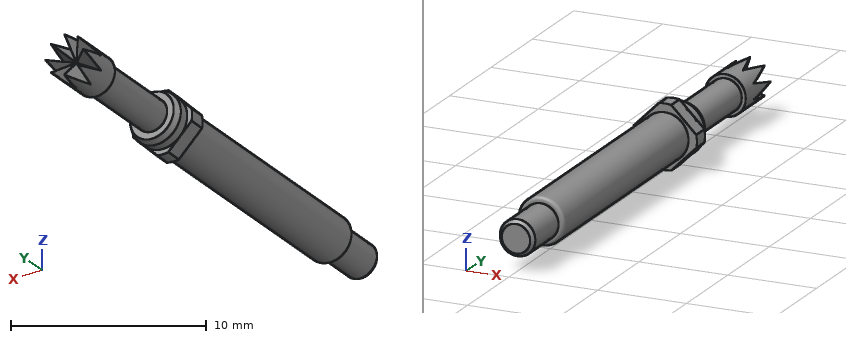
import cadquery as cq
import math


crown_length = 3.0
plunger_length = 5.3
collar_length = 1.0
collar_taper_length = 0.4
flange_thickness = 1.0
barrel_length = 15.0
tail_length = 3.0

crown_diameter = 2.3
plunger_diameter = 1.85
collar_diameter = 3.0
collar_top_diameter = 2.65
flange_width = 3.0
flange_corner_diameter = 3.6
flange_turn = 45.0
barrel_diameter = 2.65
barrel_end_fillet = 0.2
tail_diameter = 2.0
tail_chamfer = 0.2

tooth_count = 8
notch_depth = 1.8
ridge_angle = 45.0

collar_base_y = flange_thickness
collar_top_y = collar_base_y + collar_length
crown_base_y = collar_top_y + plunger_length
tip_y = crown_base_y + crown_length
barrel_end_y = -barrel_length
tail_end_y = barrel_end_y - tail_length

crown_spare = 0.2


def turned_body():
    """Revolve the stepped half outline (radius, y) about the Y axis."""
    crown_radius = crown_diameter / 2
    plunger_radius = plunger_diameter / 2
    collar_radius = collar_diameter / 2
    barrel_radius = barrel_diameter / 2
    tail_radius = tail_diameter / 2
    fillet_offset = barrel_end_fillet * math.sin(math.radians(45))
    fillet_centre_radius = barrel_radius - barrel_end_fillet
    fillet_centre_y = barrel_end_y + barrel_end_fillet
    outline = (
        cq.Workplane("XY")
        .moveTo(0, tail_end_y)
        .lineTo(tail_radius - tail_chamfer, tail_end_y)
        .lineTo(tail_radius, tail_end_y + tail_chamfer)
        .lineTo(tail_radius, barrel_end_y)
        .lineTo(fillet_centre_radius, barrel_end_y)
        .threePointArc(
            (fillet_centre_radius + fillet_offset, fillet_centre_y - fillet_offset),
            (barrel_radius, fillet_centre_y),
        )
        .lineTo(barrel_radius, collar_base_y)
        .lineTo(collar_radius, collar_base_y)
        .lineTo(collar_radius, collar_top_y - collar_taper_length)
        .lineTo(collar_top_diameter / 2, collar_top_y)
        .lineTo(plunger_radius, collar_top_y)
        .lineTo(plunger_radius, crown_base_y)
        .lineTo(crown_radius, crown_base_y)
        .lineTo(crown_radius, tip_y + crown_spare)
        .lineTo(0, tip_y + crown_spare)
        .close()
    )
    return outline.revolve(360, (0, 0, 0), (0, 1, 0))


def square_flange():
    """Square plate standing on its corner, the corners rounded about the axis."""
    disc = cq.Workplane("XZ").circle(flange_corner_diameter / 2).extrude(-flange_thickness)
    square = (
        cq.Workplane("XZ")
        .transformed(rotate=(0, 0, flange_turn))
        .rect(flange_width, flange_width)
        .extrude(-flange_thickness)
    )
    return disc.intersect(square)


def planar_face(points):
    return cq.Face.makeFromWires(cq.Wire.makePolygon(points, close=True))


def crown_cutter():
    """Star-shaped solid whose pleated underside leaves the sharp crown teeth."""
    crown_radius = crown_diameter / 2
    reach = crown_diameter
    centre_y = tip_y - crown_radius * math.tan(math.radians(ridge_angle))
    ridge_slope = (tip_y - centre_y) / crown_radius
    valley_slope = (tip_y - notch_depth - centre_y) / crown_radius
    top_y = tip_y + crown_length

    centre = cq.Vector(0, centre_y, 0)
    lower_rim = []
    upper_rim = []
    for i in range(2 * tooth_count):
        angle = math.pi * i / tooth_count
        slope = ridge_slope if i % 2 == 0 else valley_slope
        x = reach * math.cos(angle)
        z = reach * math.sin(angle)
        lower_rim.append(cq.Vector(x, centre_y + slope * reach, z))
        upper_rim.append(cq.Vector(x, top_y, z))

    faces = [planar_face(upper_rim)]
    for i in range(2 * tooth_count):
        faces.append(planar_face([centre, lower_rim[i - 1], lower_rim[i]]))
        faces.append(planar_face([lower_rim[i - 1], lower_rim[i], upper_rim[i], upper_rim[i - 1]]))
    return cq.Workplane(cq.Solid.makeSolid(cq.Shell.makeShell(faces)))


result = turned_body().union(square_flange()).cut(crown_cutter())